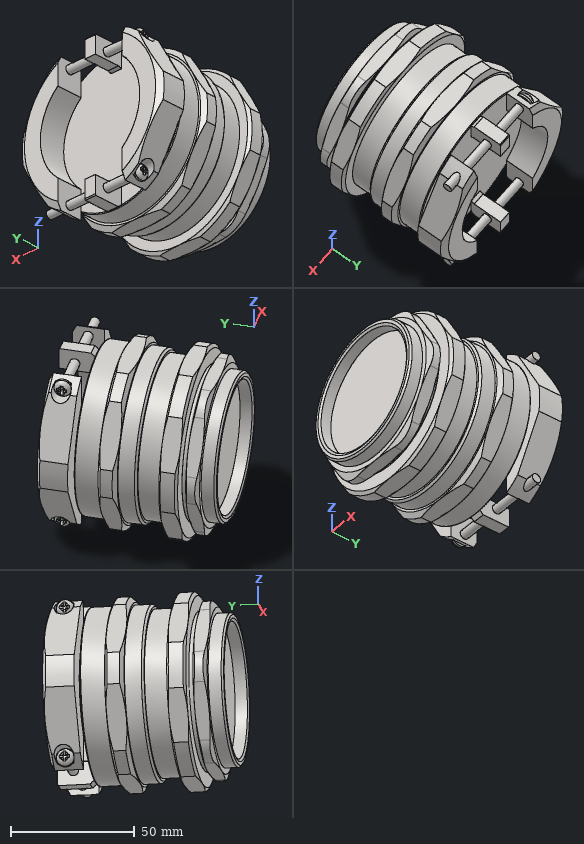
import cadquery as cq
import math


LOCKNUT_FRONT = 6.2
LOCKNUT_BACK = 12.0
FLANGE_FRONT = 14.05
FLANGE_BACK = 21.9
CAP_FRONT = 31.85
CAP_HEX_FRONT = 39.7
CAP_HEX_BACK = 47.8
CAP_BACK = 58.2
JAW_FRONT = 59.9
JAW_BACK = 73.45

THREAD_DIA = 63.0
THREAD_TIP_DIA = 61.3
BORE_DIA = 56.0
BORE_MOUTH_DIA = 58.35
BORE_CHAMFER = 0.65
BORE_DEPTH = 5.7

SEAL_DIA = 66.0
BARREL_DIA = 69.0
CAP_DIA = 73.0
CAP_FRONT_CHAMFER = 1.0
CAP_BACK_CHAMFER = 0.4

HEX_SIDES = 6
FLANGE_FLATS = 78.0
FLANGE_CORNERS = 81.3
CAP_FLATS = 75.1
CAP_CORNERS = 80.1
LOCKNUT_FLATS = 67.9
LOCKNUT_CORNER_RADIUS = 12.8
HEX_CHAMFER_ANGLE = 30
LOCKNUT_CHAMFER_ANGLE = 20

POST_WIDTH = 5.9
POST_OUTER = CAP_FLATS / 2
POST_INNER = 27.95
POST_FOOT_OUTER = 36.0
POST_FOOT_INNER = 27.3

JAW_FACE_X = 18.1
JAW_BACK_DIA = 73.95

SCREW_Y = 66.7
SCREW_Z = 31.5
SCREW_DIA = 4.2
SCREW_END_X = 29.2
HEAD_SEAT_X = -21.1
HEAD_DIA = 7.5
HEAD_FLAT_DIA = 3.5
HEAD_RIM = 1.0
HEAD_HEIGHT = 3.0
HEAD_DOME_RADIUS = 2.85
POCKET_DIA = 8.0
CROSS_SPAN = 4.5
CROSS_FLOOR = 1.5
CROSS_WIDTH = 1.1
CROSS_DEPTH = 1.6

AXIS_START = (0, 0, 0)
AXIS_END = (0, 1, 0)


def plane_across_axis(y):
    """Workplane across the gland's axis whose normal points to the back."""
    return cq.Workplane(cq.Plane(origin=(0, y, 0), xDir=(1, 0, 0), normal=(0, 1, 0)))


def disc(front, back, diameter):
    return plane_across_axis(front).circle(diameter / 2).extrude(back - front)


def turn(profile):
    """Revolve a closed profile of (radius, y) points around the gland's axis."""
    return profile.close().revolve(360, AXIS_START, AXIS_END)


def hexagon(front, back, flats):
    """Hexagonal prism with two of its flats facing up and down."""
    corner_to_corner = flats / math.cos(math.pi / HEX_SIDES)
    return plane_across_axis(front).polygon(HEX_SIDES, corner_to_corner).extrude(back - front)


def envelope(front, back, corners, front_dia, back_dia, angle):
    """Cylinder whose two ends are chamfered down to front_dia and back_dia."""
    slope = math.tan(math.radians(angle))
    front_drop = (corners - front_dia) / 2 * slope
    back_drop = (corners - back_dia) / 2 * slope
    profile = cq.Workplane("XY").moveTo(0, front).lineTo(front_dia / 2, front)
    if front_drop > 0:
        profile = profile.lineTo(corners / 2, front + front_drop)
    profile = profile.lineTo(corners / 2, back - back_drop).lineTo(back_dia / 2, back).lineTo(0, back)
    return turn(profile)


def hex_collar(front, back, flats, corners):
    """Hexagon with its corners turned off and chamfered on both sides."""
    limit = envelope(front, back, corners, flats, flats, HEX_CHAMFER_ANGLE)
    return hexagon(front, back, flats).intersect(limit)


def clamp_envelope(front):
    """Round outline that the jaws and the posts share, chamfered at the back only."""
    return envelope(front, JAW_BACK, CAP_CORNERS, CAP_CORNERS, JAW_BACK_DIA, HEX_CHAMFER_ANGLE)



def make_thread():
    tip_chamfer = (THREAD_DIA - THREAD_TIP_DIA) / 2
    return disc(0, FLANGE_FRONT, THREAD_DIA).faces("<Y").chamfer(tip_chamfer)


def make_bore():
    profile = cq.Workplane("XY").polyline([
        (0, 0),
        (BORE_MOUTH_DIA / 2, 0),
        (BORE_DIA / 2, BORE_CHAMFER),
        (BORE_DIA / 2, BORE_DEPTH),
        (0, BORE_DEPTH),
    ])
    return turn(profile)


def make_seal_ring():
    """Disc with a half-round rim between the lock nut and the flange."""
    rim_radius = (FLANGE_FRONT - LOCKNUT_BACK) / 2
    rim_center = SEAL_DIA / 2 - rim_radius
    profile = (
        cq.Workplane("XY")
        .moveTo(0, LOCKNUT_BACK)
        .lineTo(rim_center, LOCKNUT_BACK)
        .threePointArc((SEAL_DIA / 2, LOCKNUT_BACK + rim_radius), (rim_center, FLANGE_FRONT))
        .lineTo(0, FLANGE_FRONT)
    )
    return turn(profile)


def make_cap():
    cap = disc(CAP_FRONT, CAP_BACK, CAP_DIA)
    cap = cap.faces("<Y").chamfer(CAP_FRONT_CHAMFER)
    cap = cap.faces(">Y").chamfer(CAP_BACK_CHAMFER)
    return cap.union(hex_collar(CAP_HEX_FRONT, CAP_HEX_BACK, CAP_FLATS, CAP_CORNERS))


def make_post():
    """Upper post, with a bevelled foot and a hole that the screw fills."""
    post = (
        cq.Workplane("YZ")
        .polyline([
            (CAP_BACK, POST_FOOT_INNER),
            (JAW_FRONT, POST_INNER),
            (JAW_BACK, POST_INNER),
            (JAW_BACK, POST_OUTER),
            (JAW_FRONT, POST_OUTER),
            (CAP_BACK, POST_FOOT_OUTER),
        ])
        .close()
        .extrude(POST_WIDTH / 2, both=True)
    )
    return post.intersect(clamp_envelope(CAP_BACK)).cut(make_screw_rod())


def make_gland():
    gland = make_thread().union(make_seal_ring())
    gland = gland.union(hex_collar(FLANGE_FRONT, FLANGE_BACK, FLANGE_FLATS, FLANGE_CORNERS))
    gland = gland.union(disc(FLANGE_BACK, CAP_FRONT, BARREL_DIA))
    gland = gland.union(make_cap())
    post = make_post()
    gland = gland.union(post).union(post.mirror("XY"))
    return gland.cut(make_bore())



def make_locknut():
    """Hexagonal nut with rounded, chamfered corners around the thread."""
    nut = hexagon(LOCKNUT_FRONT, LOCKNUT_BACK, LOCKNUT_FLATS)
    nut = nut.edges("|Y").fillet(LOCKNUT_CORNER_RADIUS)
    corner_to_corner = LOCKNUT_FLATS / math.cos(math.pi / HEX_SIDES)
    limit = envelope(
        LOCKNUT_FRONT, LOCKNUT_BACK, corner_to_corner, LOCKNUT_FLATS, LOCKNUT_FLATS, LOCKNUT_CHAMFER_ANGLE
    )
    return nut.intersect(limit).cut(disc(LOCKNUT_FRONT, LOCKNUT_BACK, THREAD_DIA))



def screw_seat():
    """Workplane across the upper screw, in the plane under its head."""
    return cq.Workplane("YZ", origin=(HEAD_SEAT_X, SCREW_Y, SCREW_Z))


def make_screw_rod():
    return screw_seat().circle(SCREW_DIA / 2).extrude(SCREW_END_X - HEAD_SEAT_X)


def make_cross_slot():
    """One slot of the cross recess, with sloping ends, for a head that points along +Y."""
    return (
        cq.Workplane("XY")
        .polyline([
            (-CROSS_FLOOR / 2, HEAD_HEIGHT - CROSS_DEPTH),
            (CROSS_FLOOR / 2, HEAD_HEIGHT - CROSS_DEPTH),
            (CROSS_SPAN / 2, HEAD_HEIGHT),
            (-CROSS_SPAN / 2, HEAD_HEIGHT),
        ])
        .close()
        .extrude(CROSS_WIDTH / 2, both=True)
    )


def make_screw_head():
    """Domed head with a cross recess, turned to point along -X and put on its seat."""
    profile = (
        cq.Workplane("XY")
        .lineTo(HEAD_DIA / 2, 0)
        .lineTo(HEAD_DIA / 2, HEAD_RIM)
        .radiusArc((HEAD_FLAT_DIA / 2, HEAD_HEIGHT), -HEAD_DOME_RADIUS)
        .lineTo(0, HEAD_HEIGHT)
    )
    head = turn(profile)
    for angle in (0, 90):
        head = head.cut(make_cross_slot().rotate(AXIS_START, AXIS_END, angle))
    return head.rotate((0, 0, 0), (0, 0, 1), 90).translate((HEAD_SEAT_X, SCREW_Y, SCREW_Z))


def make_jaws():
    """Hexagonal ring parted by a wide gap into a left and a right jaw."""
    ring = hexagon(JAW_FRONT, JAW_BACK, CAP_FLATS).intersect(clamp_envelope(JAW_FRONT))
    ring = ring.cut(disc(JAW_FRONT, JAW_BACK, BORE_DIA))
    gap = plane_across_axis(JAW_FRONT).rect(2 * JAW_FACE_X, CAP_CORNERS).extrude(JAW_BACK - JAW_FRONT)
    return ring.cut(gap)


def make_clamp():
    head_pocket = screw_seat().circle(POCKET_DIA / 2).extrude(-CAP_CORNERS / 2)
    screw = make_screw_rod().union(make_screw_head())
    clamp = make_jaws().cut(head_pocket).cut(head_pocket.mirror("XY"))
    return clamp.union(screw).union(screw.mirror("XY"))


gland = make_gland()
locknut = make_locknut()
clamp = make_clamp()

result = cq.Compound.makeCompound([gland.solids().val(), locknut.solids().val(), clamp.solids().val()])